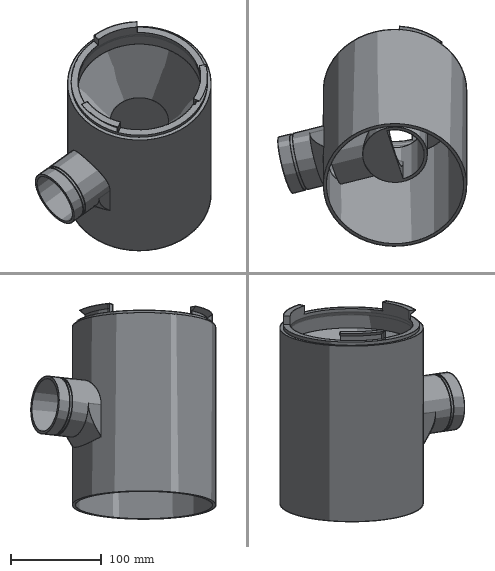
import cadquery as cq
import math

HEIGHT = 213.5
BODY_R = 158.0 / 2
CAVITY_R = 151.0 / 2
RIM_R = 150.0 / 2
MOUTH_R = 135.0 / 2
SHOULDER_Z = 200.0
RIM_Z = 203.7

PIPE_R = 64.0 / 2
PIPE_BORE_R = 58.0 / 2
PIPE_Z = 100.0
PIPE_END_Y = -125.1
GROOVE_R = 62.0 / 2
GROOVE_FRONT_Y = -111.5
GROOVE_WIDTH = 3.2
FLARE_START_Y = -88.4

FUNNEL_TOP_Z = 181.5
FUNNEL_R = 68.5
BORE_TAPER_HEIGHT = 3.8
DRAIN_R = PIPE_R
DRAIN_TOP_Z = PIPE_Z + PIPE_R
WALL = PIPE_R - PIPE_BORE_R
SLEEVE_R = DRAIN_R + WALL
DRAIN_OUTER_R = DRAIN_R + BODY_R - CAVITY_R
DRAIN_BOTTOM_Z = 64.0
SLEEVE_BORE_LENGTH = 66.2
SLEEVE_LENGTH = 70.5

TAB_COUNT = 3
TAB_START = 20.0
TAB_SPAN = 40.0
CUT_MARGIN = 2.1
GAP_INNER_R = MOUTH_R - CUT_MARGIN
TAB_WEB_R = 69.2
LIP_HEIGHT = 4.5
STOP_SPAN = 1.2


def upright(radius, bottom, top):
    return cq.Workplane("XY").workplane(offset=bottom).circle(radius).extrude(top - bottom)


def along_y(radius, back, length):
    """Cylinder on the pipe axis, running from y = back toward -Y."""
    return cq.Workplane("XZ", origin=(0, back, PIPE_Z)).circle(radius).extrude(length)


def box_between(low, high):
    size = [b - a for a, b in zip(low, high)]
    return cq.Workplane("XY").box(*size, centered=False).translate(low)


def sector(profile, start, span):
    """Revolve an (r, z) profile about Z from the start angle through the span."""
    solid = cq.Workplane("XZ").polyline(profile).close().revolve(span, (0, 0, 0), (0, 1, 0))
    return solid.rotate((0, 0, 0), (0, 0, 1), start)


def make_flare():
    """45-degree conical support under the pipe, no wider than the pipe."""
    base_r = PIPE_R - FLARE_START_Y
    cone = (
        cq.Workplane("YZ", origin=(0, 0, PIPE_Z))
        .polyline([(FLARE_START_Y, 0), (0, 0), (0, base_r), (FLARE_START_Y, PIPE_R)])
        .close()
        .revolve(360, (0, 0, 0), (1, 0, 0))
    )
    limits = box_between((-PIPE_R, FLARE_START_Y, 0), (PIPE_R, 0, PIPE_Z))
    return cone.intersect(limits)


def make_pipe():
    pipe = along_y(PIPE_R, 0, -PIPE_END_Y)
    groove_back = GROOVE_FRONT_Y + GROOVE_WIDTH
    groove = along_y(PIPE_R + WALL, groove_back, GROOVE_WIDTH)
    return pipe.cut(groove.cut(along_y(GROOVE_R, groove_back, GROOVE_WIDTH)))


def make_cavity():
    """Space under the funnel, leaving a funnel wall of even thickness."""
    slope = math.atan2(FUNNEL_TOP_Z - DRAIN_TOP_Z, FUNNEL_R - DRAIN_R)
    vertical_wall = WALL / math.cos(slope)

    def underside(radius):
        return DRAIN_TOP_Z + (radius - DRAIN_R) * math.tan(slope) - vertical_wall

    return sector(
        [(0, 0), (CAVITY_R, 0), (CAVITY_R, underside(CAVITY_R)),
         (DRAIN_R, underside(DRAIN_R)), (0, underside(DRAIN_R))],
        0, 360,
    )


def make_funnel_space():
    return sector(
        [(0, DRAIN_TOP_Z), (DRAIN_R, DRAIN_TOP_Z), (FUNNEL_R, FUNNEL_TOP_Z),
         (FUNNEL_R, SHOULDER_Z - BORE_TAPER_HEIGHT), (MOUTH_R, SHOULDER_Z),
         (MOUTH_R, HEIGHT), (0, HEIGHT)],
        0, 360,
    )


def make_elbow_bore():
    """The rear half of the drain drops straight down; the front half opens into the pipe."""
    rear_half = box_between((-BODY_R, 0, 0), (BODY_R, BODY_R, DRAIN_TOP_Z))
    rear = upright(DRAIN_R, 0, DRAIN_TOP_Z).intersect(rear_half)
    upper = upright(DRAIN_R, PIPE_Z, DRAIN_TOP_Z)
    trough = along_y(DRAIN_R, 0, SLEEVE_BORE_LENGTH)
    return rear.union(upper).union(trough).union(along_y(PIPE_BORE_R, 0, -PIPE_END_Y))


def make_tab_gap(start):
    """Space to remove between one tab and the next, above the rim."""
    gap_top = HEIGHT + CUT_MARGIN
    return sector(
        [(GAP_INNER_R, RIM_Z), (BODY_R, RIM_Z), (BODY_R, gap_top), (GAP_INNER_R, gap_top)],
        start + TAB_SPAN, 360 / TAB_COUNT - TAB_SPAN,
    )


def make_tab_undercut(start):
    """Space below a tab's outward lip, ending at the full-depth stop."""
    lip_slope = LIP_HEIGHT / (RIM_R - TAB_WEB_R)
    lip_z_at_body = HEIGHT + (BODY_R - RIM_R) * lip_slope
    return sector(
        [(TAB_WEB_R, RIM_Z), (BODY_R, RIM_Z), (BODY_R, lip_z_at_body),
         (TAB_WEB_R, HEIGHT - LIP_HEIGHT)],
        start, TAB_SPAN - STOP_SPAN,
    )


body = upright(BODY_R, 0, SHOULDER_Z).union(upright(RIM_R, 0, HEIGHT))
body = body.union(make_flare()).union(make_pipe()).cut(make_cavity())

elbow = upright(DRAIN_OUTER_R, DRAIN_BOTTOM_Z, DRAIN_TOP_Z)
elbow = elbow.union(along_y(SLEEVE_R, 0, SLEEVE_LENGTH))
body = body.union(elbow).cut(make_funnel_space()).cut(make_elbow_bore())

for index in range(TAB_COUNT):
    tab_start = TAB_START + index * 360 / TAB_COUNT
    body = body.cut(make_tab_gap(tab_start)).cut(make_tab_undercut(tab_start))

result = body